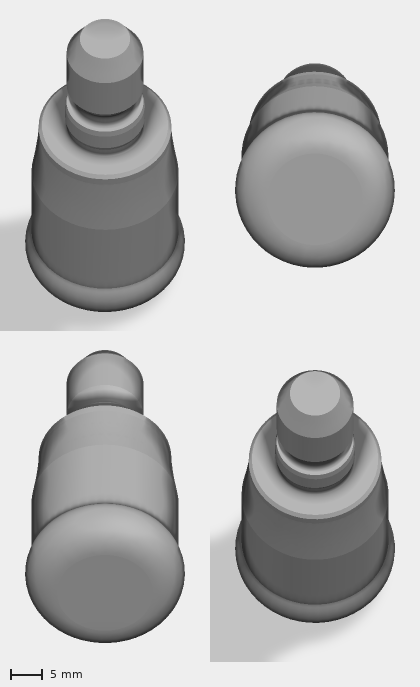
import cadquery as cq
import math

TOTAL_HEIGHT = 57.0

BULGE_DIAMETER = 25.0
BULGE_RADIUS = 5.0
GRIP_DIAMETER = 23.0
GRIP_TOP = 23.0
TAPER_TOP = 33.1
TAPER_SAG = 0.1
COLLAR_DIAMETER = 20.8
HANDLE_TOP = 35.0
HANDLE_CHAMFER = 0.5

FLANGE_DIAMETER = 14.35
FLANGE_DEPTH = 1.9

SHANK_DIAMETER = 12.0
SHANK_FILLET = 0.4
BAND_DIAMETER = 12.5
BAND_BOTTOM = 37.1
BAND_BOTTOM_CHAMFER_HEIGHT = 0.7
BAND_TOP_EDGE = 40.0
BAND_TOP = 41.05
BAND_TOP_DIAMETER = 12.1
NECK_DIAMETER = 9.4
NECK_FILLET = 0.6
HEAD_CONE_ANGLE = math.radians(30)
HEAD_DIAMETER = 12.0
HEAD_BOTTOM = 45.35
HEAD_TOP = 53.4
TIP_DIAMETER = 7.85

FLANGE_BOTTOM = HANDLE_TOP - FLANGE_DEPTH
DIAGONAL = math.sqrt(0.5)


def revolve_about_z(profile):
    """Revolve a closed profile of (radius, height) points about the Z axis."""
    return profile.close().revolve(360, (0, 0, 0), (0, 1, 0))


def make_handle():
    """Grip with a rounded bulge at the bottom, a curved taper and a seat for the pin."""
    grip_radius = GRIP_DIAMETER / 2
    collar_radius = COLLAR_DIAMETER / 2

    bulge_center = BULGE_DIAMETER / 2 - BULGE_RADIUS
    bulge_top = BULGE_RADIUS + math.sqrt(BULGE_RADIUS**2 - (grip_radius - bulge_center) ** 2)

    taper_middle = ((grip_radius + collar_radius) / 2 - TAPER_SAG, (GRIP_TOP + TAPER_TOP) / 2)

    body = revolve_about_z(
        cq.Workplane("XZ")
        .lineTo(bulge_center, 0)
        .threePointArc((BULGE_DIAMETER / 2, BULGE_RADIUS), (grip_radius, bulge_top))
        .lineTo(grip_radius, GRIP_TOP)
        .threePointArc(taper_middle, (collar_radius, TAPER_TOP))
        .lineTo(collar_radius, HANDLE_TOP - HANDLE_CHAMFER)
        .lineTo(collar_radius - HANDLE_CHAMFER, HANDLE_TOP)
        .lineTo(0, HANDLE_TOP)
    )
    seat = cq.Workplane("XY", origin=(0, 0, FLANGE_BOTTOM)).circle(FLANGE_DIAMETER / 2).extrude(FLANGE_DEPTH)
    return body.cut(seat)


def make_pin():
    """Turned pin with a flange, a guide band, a necked groove and a tapered head."""
    shank_radius = SHANK_DIAMETER / 2
    band_radius = BAND_DIAMETER / 2
    neck_radius = NECK_DIAMETER / 2
    head_radius = HEAD_DIAMETER / 2
    shank_fillet_middle = (
        shank_radius + SHANK_FILLET * (1 - DIAGONAL),
        HANDLE_TOP + SHANK_FILLET * (1 - DIAGONAL),
    )
    neck_fillet_middle = (
        neck_radius + NECK_FILLET * (1 - DIAGONAL),
        BAND_TOP + NECK_FILLET * (1 - DIAGONAL),
    )

    cone_start_radius = neck_radius + NECK_FILLET * (1 - math.cos(HEAD_CONE_ANGLE))
    cone_start = HEAD_BOTTOM - (head_radius - cone_start_radius) / math.tan(HEAD_CONE_ANGLE)
    neck_top = cone_start - NECK_FILLET * math.sin(HEAD_CONE_ANGLE)
    cone_fillet_middle = (
        neck_radius + NECK_FILLET * (1 - math.cos(HEAD_CONE_ANGLE / 2)),
        neck_top + NECK_FILLET * math.sin(HEAD_CONE_ANGLE / 2),
    )

    return revolve_about_z(
        cq.Workplane("XZ")
        .moveTo(0, FLANGE_BOTTOM)
        .lineTo(FLANGE_DIAMETER / 2, FLANGE_BOTTOM)
        .lineTo(FLANGE_DIAMETER / 2, HANDLE_TOP)
        .lineTo(shank_radius + SHANK_FILLET, HANDLE_TOP)
        .threePointArc(shank_fillet_middle, (shank_radius, HANDLE_TOP + SHANK_FILLET))
        .lineTo(shank_radius, BAND_BOTTOM - BAND_BOTTOM_CHAMFER_HEIGHT)
        .lineTo(band_radius, BAND_BOTTOM)
        .lineTo(band_radius, BAND_TOP_EDGE)
        .lineTo(BAND_TOP_DIAMETER / 2, BAND_TOP)
        .lineTo(neck_radius + NECK_FILLET, BAND_TOP)
        .threePointArc(neck_fillet_middle, (neck_radius, BAND_TOP + NECK_FILLET))
        .lineTo(neck_radius, neck_top)
        .threePointArc(cone_fillet_middle, (cone_start_radius, cone_start))
        .lineTo(head_radius, HEAD_BOTTOM)
        .lineTo(head_radius, HEAD_TOP)
        .lineTo(TIP_DIAMETER / 2, TOTAL_HEIGHT)
        .lineTo(0, TOTAL_HEIGHT)
    )


handle = make_handle()
pin = make_pin()
result = cq.Compound.makeCompound([handle.val(), pin.val()])